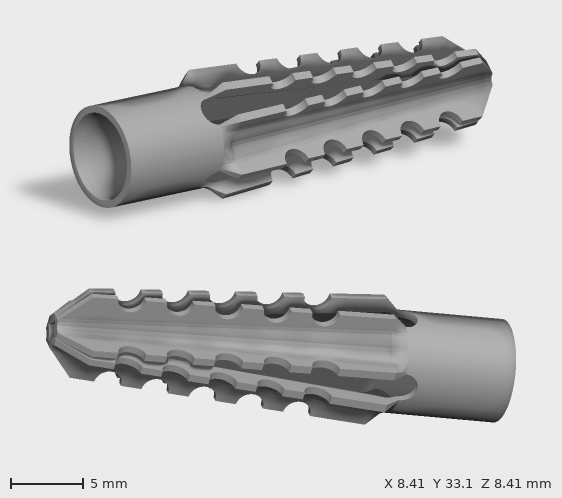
import cadquery as cq
import math


DIAGONAL = 45

length = 33.05
tube_radius = 3.6
bore_radius = 3.1
tube_end = 8.0

slot_radius = 1.05
slot_tip_half_width = 0.03

root_y = 9.12
half_floor = 0.13
base_bevel = 0.1
root_section = dict(inner=2.5, outer=3.05, inner_slope=0.33, base_x=1.12, wing_across=1.62, wing_along=4.33)
tip_section = dict(inner=0.53, outer=1.02, inner_slope=0.16, base_x=0.45, wing_across=0.5, wing_along=3.2)

wing_foot_angle = math.radians(25)
base_outer_angle = math.radians(18)
base_inner_angle = math.radians(15)

chamfer_start = 31.0
chamfer_tip_along = 1.12

notch_count = 5
notch_radius = 1.0
first_notch_y = 14.18
notch_pitch = 3.5

cutter_half_width = 1.2 * root_section["wing_across"]
reach = 2 * tube_radius


def mirrored(half):
    """Close a half outline across x = 0. It starts on x = 0 and ends off it."""
    return half + [(-x, z) for x, z in reversed(half[1:])]


def finger_half_outline(inner, outer, inner_slope, base_x, wing_across, wing_along):
    """Right half of the upper finger, reaching to the diagonal where it meets its neighbour."""
    diagonal_inner = inner / (1 - inner_slope)
    diagonal_outer = wing_along / math.sqrt(2)
    across = wing_across / math.sqrt(2)
    base_z = base_x + 2 * across
    floor_slope = (base_z - outer) / (base_x - half_floor)
    return [
        (0, inner),
        (diagonal_inner, diagonal_inner),
        (diagonal_outer, diagonal_outer),
        (diagonal_outer - across, diagonal_outer + across),
        (base_x + base_bevel, base_z + base_bevel),
        (base_x - base_bevel, base_z - base_bevel * floor_slope),
        (half_floor, outer),
    ]


def polygon_wire(points, y):
    return cq.Wire.makePolygon([cq.Vector(x, y, z) for x, z in points], close=True)


def on_circle(radius, angle):
    """Point at an angle measured from +Z toward +X."""
    return cq.Vector(radius * math.sin(angle), tube_end, radius * math.cos(angle))


def tube_sector_wire():
    """Quarter of the tube's ring, split into as many edges as the finger outline."""
    diagonal = math.radians(DIAGONAL)
    floor_edge = math.asin(half_floor / tube_radius)
    inside = [(bore_radius, 0), (bore_radius, diagonal)]
    outside_angles = [diagonal, wing_foot_angle, base_outer_angle, base_inner_angle, floor_edge]
    half = inside + [(tube_radius, angle) for angle in outside_angles]
    stations = half + [(radius, -angle) for radius, angle in reversed(half[1:])]
    edges = []
    for (r0, a0), (r1, a1) in zip(stations, stations[1:] + stations[:1]):
        start = on_circle(r0, a0)
        end = on_circle(r1, a1)
        if r0 == r1:
            edges.append(cq.Edge.makeThreePointArc(start, on_circle(r0, (a0 + a1) / 2), end))
        else:
            edges.append(cq.Edge.makeLine(start, end))
    return cq.Wire.assembleEdges(edges)


def quarter_turns(shape):
    for quarter in range(4):
        yield shape.rotate((0, 0, 0), (0, 1, 0), 90 * quarter)


def make_finger():
    root = polygon_wire(mirrored(finger_half_outline(**root_section)), root_y)
    tip = polygon_wire(mirrored(finger_half_outline(**tip_section)), length)
    blade = cq.Solid.makeLoft([root, tip], True)
    shoulder = cq.Solid.makeLoft([tube_sector_wire(), root], True)
    return cq.Workplane(blade).union(cq.Workplane(shoulder))


def wing_along_at(y):
    """Distance of the wing edge from the axis, along the diagonal."""
    share = (y - root_y) / (length - root_y)
    return root_section["wing_along"] + share * (tip_section["wing_along"] - root_section["wing_along"])


def make_slot():
    """Tapered slot through the whole part, first cut along Z, then turned onto a diagonal."""
    slot = (
        cq.Workplane("XY")
        .moveTo(-slot_radius, tube_end)
        .threePointArc((0, tube_end - slot_radius), (slot_radius, tube_end))
        .lineTo(slot_tip_half_width, length)
        .lineTo(-slot_tip_half_width, length)
        .close()
        .extrude(reach, both=True)
    )
    return slot.rotate((0, 0, 0), (0, 1, 0), DIAGONAL)


def make_wing_cutter():
    """Tip chamfer and notches of the wings on one diagonal."""
    side = cq.Workplane("YZ")
    cutter = (
        side.moveTo(chamfer_start, wing_along_at(chamfer_start))
        .lineTo(length, chamfer_tip_along)
        .lineTo(length, reach)
        .lineTo(chamfer_start, reach)
        .close()
        .extrude(cutter_half_width, both=True)
    )
    for index in range(notch_count):
        y = first_notch_y + index * notch_pitch
        notch = side.center(y, wing_along_at(y)).circle(notch_radius).extrude(cutter_half_width, both=True)
        cutter = cutter.union(notch)
    return cutter.rotate((0, 0, 0), (0, 1, 0), DIAGONAL)


result = cq.Workplane("XZ").circle(tube_radius).circle(bore_radius).extrude(-tube_end)
for finger in quarter_turns(make_finger()):
    result = result.union(finger)

slot = make_slot()
result = result.cut(slot).cut(slot.rotate((0, 0, 0), (0, 1, 0), 90))
for cutter in quarter_turns(make_wing_cutter()):
    result = result.cut(cutter)